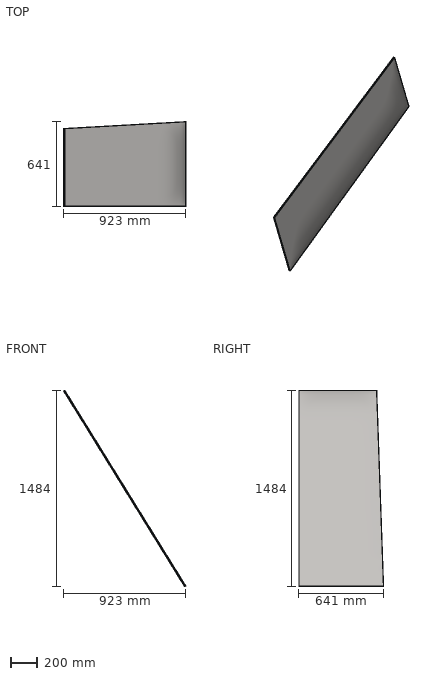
import cadquery as cq
import math

span_x = 923.0
span_z = 1484.0
bottom_width = 641.0
top_width = 589.0

end_face_run = 9.0
face_run = span_x - end_face_run

end_face_rise = (span_z - math.sqrt(span_z**2 - 4 * end_face_run * face_run)) / 2

panel = (
    cq.Workplane("XZ")
    .moveTo(0, span_z - end_face_rise)
    .lineTo(end_face_run, span_z)
    .lineTo(span_x, end_face_rise)
    .lineTo(face_run, 0)
    .close()
    .extrude(-bottom_width)
)

side_outline = (
    cq.Workplane("YZ")
    .polyline([(0, 0), (bottom_width, 0), (top_width, span_z), (0, span_z)])
    .close()
    .extrude(span_x)
)

result = panel.intersect(side_outline)